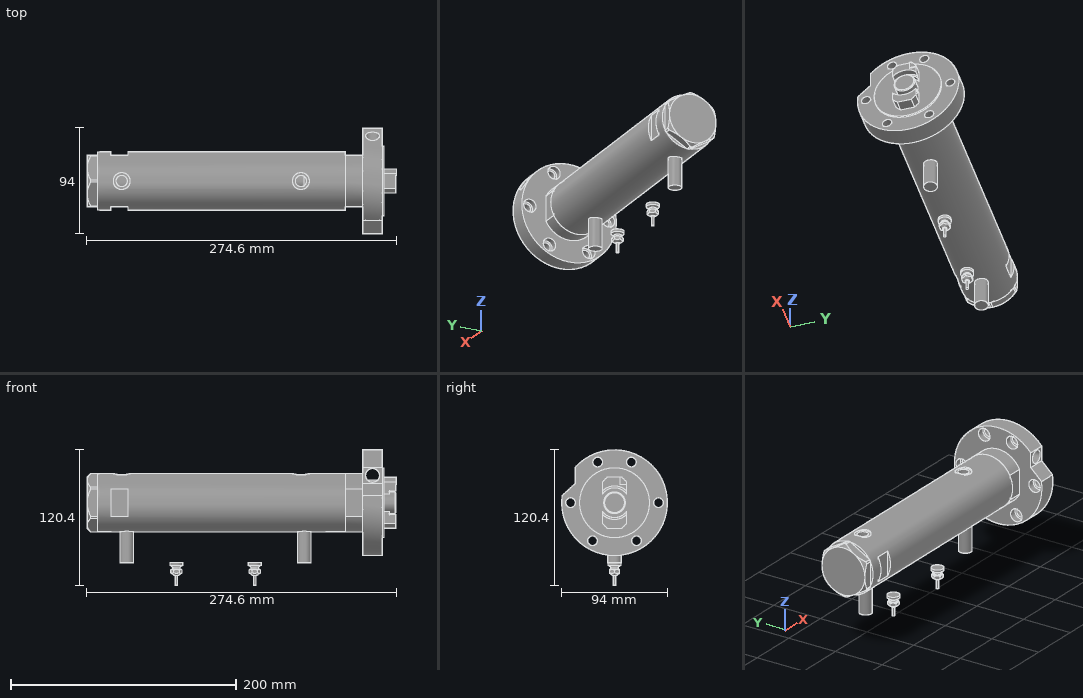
import cadquery as cq
import math


BODY_START = 9.0
BODY_LENGTH = 220.0
NECK_LENGTH = 15.4
FLANGE_THICKNESS = 17.5
DISC_THICKNESS = 1.6
TONGUE_LENGTH = 10.3
PAD_HEIGHT = 0.8
NECK_START = BODY_START + BODY_LENGTH
FLANGE_START = NECK_START + NECK_LENGTH
DISC_START = FLANGE_START + FLANGE_THICKNESS
TONGUE_START = DISC_START + DISC_THICKNESS
TONGUE_END = TONGUE_START + TONGUE_LENGTH

BODY_RADIUS = 26.0
BORE_RADIUS = 20.3
ACROSS_FLATS = 46.0
LEAD_LENGTH = 2.2
LEAD_DEPTH = 0.3
WRENCH_FLAT_START = 21.0
WRENCH_FLAT_LENGTH = 15.0
PORT_POSITIONS = (30.6, 189.6)
PORT_DIAMETER = 10.0
SPOTFACE_DIAMETER = 15.0
SPOTFACE_DEPTH = 1.2

CAP_CHAMFER = 3.0
CAP_SPIGOT_END = 40.0

FLANGE_RADIUS = 47.0
BOLT_CIRCLE_RADIUS = 39.0
BOLT_ANGLES = (0, 67.5, 112.5, 180, 240, 300)
BOLT_HOLE_DIAMETER = 8.4
COUNTERBORE_DIAMETER = 12.2
COUNTERBORE_DEPTH = 7.0
CROSS_HOLE_DIAMETER = 12.2
CROSS_HOLE_HEIGHT = 24.2
NOTCH_FACE_Y = -35.0
NOTCH_CORNER_Z = 17.0
NOTCH_SLOPE_END_Z = 6.3

HUB_RADIUS = BORE_RADIUS
NOSE_START = 192.2
DISC_RADIUS = 31.0
TONGUE_WIDTH = 21.4
TONGUE_HEIGHT = 45.4
TONGUE_CHAMFER = 4.2
RECESS_RADIUS = 13.2
SEAL_SEAT_RADIUS = 14.9
SEAL_SEAT_DEPTH = 5.8
PAD_WIDTH = 5.7
PAD_LENGTH = 6.6

ROD_RADIUS = 9.6
ROD_TIP_CHAMFER = 0.8

PIN_POSITIONS = (35.1, 192.6)
PIN_DIAMETER = 12.2
PIN_TOP_Z = -21.0
PIN_BOTTOM_Z = -53.4

PLUG_POSITIONS = (79.1, 148.6)
PLUG_TOP_Z = -53.0
PLUG_HEAD_RADIUS = 5.8
PLUG_HEAD_THICKNESS = 2.5
PLUG_NECK_RADIUS = 3.4
PLUG_NECK_TOP = 4.1
PLUG_NECK_BOTTOM = 5.7
PLUG_NUT_TOP = 6.1
PLUG_NUT_CHAMFER = 0.8
PLUG_NUT_SHOULDER = 9.2
PLUG_NUT_ACROSS_FLATS = 9.0
PLUG_CONE_END_RADIUS = 2.0
PLUG_CONE_END = 11.5
PLUG_STEM_RADIUS = 1.2
PLUG_LENGTH = 20.4


def rod_along_x(radius, start, end):
    return cq.Workplane("YZ", origin=(start, 0, 0)).circle(radius).extrude(end - start)


def side_flats(start, length):
    """Material outside the two wrench flats, facing -Y and +Y."""
    depth = BODY_RADIUS
    offset = ACROSS_FLATS / 2 + depth / 2
    plane = cq.Workplane("XY", origin=(start + length / 2, 0, 0))
    return plane.pushPoints([(0, -offset), (0, offset)]).box(length, depth, 2 * BODY_RADIUS)


def pin(x):
    plane = cq.Workplane("XY", origin=(x, 0, PIN_BOTTOM_Z))
    return plane.circle(PIN_DIAMETER / 2).extrude(PIN_TOP_Z - PIN_BOTTOM_Z)


def make_housing():
    profile = [
        (BODY_START, BORE_RADIUS),
        (BODY_START, BODY_RADIUS - LEAD_DEPTH),
        (BODY_START + LEAD_LENGTH, BODY_RADIUS),
        (NECK_START, BODY_RADIUS),
        (NECK_START, BORE_RADIUS),
    ]
    body = cq.Workplane("XY").polyline(profile).close().revolve(360, (0, 0, 0), (1, 0, 0))
    body = body.cut(side_flats(WRENCH_FLAT_START, WRENCH_FLAT_LENGTH))
    for x in PORT_POSITIONS:
        top = cq.Workplane("XY", origin=(x, 0, BODY_RADIUS))
        body = body.cut(top.circle(SPOTFACE_DIAMETER / 2).extrude(-SPOTFACE_DEPTH))
        body = body.cut(top.circle(PORT_DIAMETER / 2).extrude(-BODY_RADIUS))
    for x in PIN_POSITIONS:
        body = body.cut(pin(x))
    return body


def make_cap():
    """Hexagonal end cap whose corners are turned down, with a spigot in the bore."""
    across_corners = ACROSS_FLATS / math.cos(math.radians(30))
    hexagon = (
        cq.Workplane("YZ").transformed(rotate=(0, 0, 90)).polygon(6, across_corners).extrude(BODY_START)
    )
    turned = rod_along_x(BODY_RADIUS, 0, BODY_START).faces("<X").chamfer(CAP_CHAMFER)
    return hexagon.intersect(turned).union(rod_along_x(BORE_RADIUS, BODY_START, CAP_SPIGOT_END))


def make_flange():
    flange = rod_along_x(FLANGE_RADIUS, FLANGE_START, DISC_START)
    flange = flange.cut(rod_along_x(HUB_RADIUS, FLANGE_START, DISC_START))

    slope_end_y = -math.sqrt(FLANGE_RADIUS**2 - NOTCH_SLOPE_END_Z**2)
    notch = [
        (NOTCH_FACE_Y, FLANGE_RADIUS),
        (NOTCH_FACE_Y, NOTCH_CORNER_Z),
        (slope_end_y, NOTCH_SLOPE_END_Z),
        (-2 * FLANGE_RADIUS, NOTCH_SLOPE_END_Z),
        (-2 * FLANGE_RADIUS, FLANGE_RADIUS),
    ]
    front = cq.Workplane("YZ", origin=(FLANGE_START, 0, 0))
    flange = flange.cut(front.polyline(notch).close().extrude(FLANGE_THICKNESS))

    bolts = [
        (
            BOLT_CIRCLE_RADIUS * math.cos(math.radians(angle)),
            BOLT_CIRCLE_RADIUS * math.sin(math.radians(angle)),
        )
        for angle in BOLT_ANGLES
    ]
    holes = front.pushPoints(bolts).circle(BOLT_HOLE_DIAMETER / 2).extrude(FLANGE_THICKNESS)
    counterbores = front.pushPoints(bolts).circle(COUNTERBORE_DIAMETER / 2).extrude(COUNTERBORE_DEPTH)
    flange = flange.cut(holes).cut(counterbores)

    side = cq.Workplane("XZ", origin=(FLANGE_START + FLANGE_THICKNESS / 2, 0, CROSS_HOLE_HEIGHT))
    return flange.cut(side.circle(CROSS_HOLE_DIAMETER / 2).extrude(FLANGE_RADIUS, both=True))


def make_head():
    """Rod guide: nose in the bore, neck with flats, hub in the flange, disc and chamfered tongue."""
    nose = rod_along_x(BORE_RADIUS, NOSE_START, NECK_START)
    neck = rod_along_x(BODY_RADIUS, NECK_START, FLANGE_START).cut(side_flats(NECK_START, NECK_LENGTH))
    hub = rod_along_x(HUB_RADIUS, FLANGE_START, DISC_START)
    disc = rod_along_x(DISC_RADIUS, DISC_START, TONGUE_START)
    tongue = (
        cq.Workplane("YZ", origin=(TONGUE_START, 0, 0))
        .rect(TONGUE_WIDTH, TONGUE_HEIGHT)
        .extrude(TONGUE_LENGTH + PAD_HEIGHT)
        .edges("|X")
        .chamfer(TONGUE_CHAMFER)
    )
    pad_centre = (TONGUE_WIDTH / 2 - PAD_WIDTH / 2, TONGUE_HEIGHT / 2 - PAD_LENGTH / 2)
    end = cq.Workplane("YZ", origin=(TONGUE_END, 0, 0))
    pad_block = end.center(*pad_centre).rect(PAD_WIDTH, PAD_LENGTH).extrude(PAD_HEIGHT)
    lowering = end.rect(TONGUE_WIDTH, TONGUE_HEIGHT).extrude(PAD_HEIGHT).cut(pad_block)
    tongue = tongue.cut(lowering)

    head = nose.union(neck).union(hub).union(disc).union(tongue)
    head = head.cut(rod_along_x(ROD_RADIUS, NOSE_START, TONGUE_END))
    head = head.cut(rod_along_x(RECESS_RADIUS, TONGUE_START, TONGUE_END))
    seat_start = TONGUE_END - SEAL_SEAT_DEPTH
    return head.cut(rod_along_x(SEAL_SEAT_RADIUS, seat_start, TONGUE_END))


def make_rod():
    rod = rod_along_x(ROD_RADIUS, CAP_SPIGOT_END, TONGUE_END)
    return rod.faces(">X").chamfer(ROD_TIP_CHAMFER)


def make_plug(x):
    """Turned plug with a hexagonal collar; depths are measured down from its top face."""
    nut_radius = PLUG_NUT_ACROSS_FLATS / math.sqrt(3)
    profile = [
        (0, 0),
        (PLUG_HEAD_RADIUS, 0),
        (PLUG_HEAD_RADIUS, -PLUG_HEAD_THICKNESS),
        (PLUG_NECK_RADIUS, -PLUG_NECK_TOP),
        (PLUG_NECK_RADIUS, -PLUG_NECK_BOTTOM),
        (nut_radius - PLUG_NUT_CHAMFER, -PLUG_NUT_TOP),
        (nut_radius, -PLUG_NUT_TOP - PLUG_NUT_CHAMFER),
        (nut_radius, -PLUG_NUT_SHOULDER),
        (PLUG_CONE_END_RADIUS, -PLUG_CONE_END),
        (PLUG_STEM_RADIUS, -PLUG_CONE_END),
        (PLUG_STEM_RADIUS, -PLUG_LENGTH),
        (0, -PLUG_LENGTH),
    ]
    plane = cq.Workplane("XZ", origin=(x, 0, PLUG_TOP_Z))
    turned = plane.polyline(profile).close().revolve(360, (0, 0, 0), (0, 1, 0))
    collar = cq.Workplane("XY", origin=(x, 0, PLUG_TOP_Z - PLUG_NECK_BOTTOM))
    collar_length = PLUG_CONE_END - PLUG_NECK_BOTTOM
    outside = collar.circle(2 * nut_radius).polygon(6, 2 * nut_radius).extrude(-collar_length)
    return turned.cut(outside)


housing = make_housing()
cap = make_cap()
flange = make_flange()
head = make_head()
rod = make_rod()
pins = [pin(x) for x in PIN_POSITIONS]
plugs = [make_plug(x) for x in PLUG_POSITIONS]

result = cq.Compound.makeCompound(
    [
        housing.val(),
        cap.val(),
        flange.val(),
        head.val(),
        rod.val(),
        *[body.val() for body in pins],
        *[body.val() for body in plugs],
    ]
)